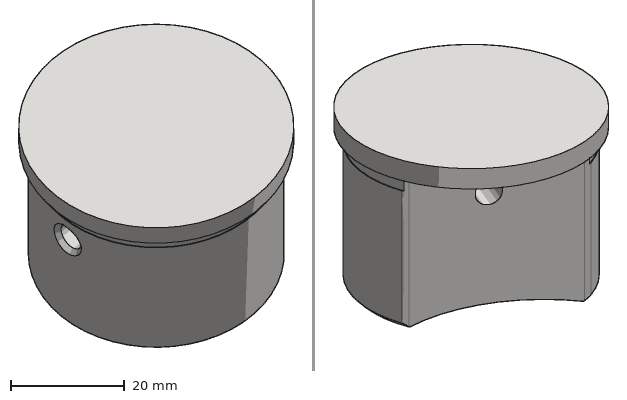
import cadquery as cq

total_height = 34.0
flange_diameter = 48.3
flange_height = 4.0

body_diameter = 45.0
neck_diameter = 44.75
neck_height = 3.0
bottom_chamfer = 0.95

saddle_radius = 31.4
saddle_bottom_offset = 9.9
saddle_edge_radius = 1.0

hole_diameter = 5.0
hole_depth_below_top = 12.05
hole_chamfer_width = 0.8
hole_chamfer_depth = 1.0

body_radius = body_diameter / 2
neck_radius = neck_diameter / 2
hole_radius = hole_diameter / 2
neck_top = total_height - flange_height
body_top = neck_top - neck_height
hole_z = total_height - hole_depth_below_top


def make_flange():
    """Round cover plate on top of the plug."""
    return (
        cq.Workplane("XY")
        .workplane(offset=neck_top)
        .circle(flange_diameter / 2)
        .extrude(flange_height)
    )


def make_saddled_column():
    """Upright cylinder with the saddle cut into its back and both saddle edges rounded."""
    saddle = (
        cq.Workplane("XY")
        .center(0, saddle_bottom_offset + saddle_radius)
        .circle(saddle_radius)
        .extrude(neck_top)
    )
    behind_saddle_bottom = cq.selectors.BoxSelector(
        (-body_diameter, saddle_bottom_offset, 0),
        (body_diameter, body_diameter, neck_top),
    )
    return (
        cq.Workplane("XY")
        .circle(body_radius)
        .extrude(neck_top)
        .cut(saddle)
        .edges("|Z")
        .edges(behind_saddle_bottom)
        .fillet(saddle_edge_radius)
    )


def make_turned_envelope():
    """Turned profile with the bottom chamfer and the slightly narrower neck."""
    return (
        cq.Workplane("XZ")
        .lineTo(body_radius - bottom_chamfer, 0)
        .lineTo(body_radius, bottom_chamfer)
        .lineTo(body_radius, body_top)
        .lineTo(neck_radius, body_top)
        .lineTo(neck_radius, neck_top)
        .lineTo(0, neck_top)
        .close()
        .revolve(360, (0, 0, 0), (0, 1, 0))
    )


def drill_cross_hole(plug):
    """Drill through along Y and chamfer the rim on the round front."""
    drill = (
        cq.Workplane("XZ", origin=(0, -body_radius, hole_z))
        .circle(hole_radius)
        .extrude(-body_diameter)
    )
    front_rim = cq.selectors.BoxSelector(
        (-hole_radius, -body_diameter, hole_z - hole_radius),
        (hole_radius, -body_radius / 2, hole_z + hole_radius),
    )
    return plug.cut(drill).edges(front_rim).chamfer(hole_chamfer_width, hole_chamfer_depth)


plug = make_saddled_column().intersect(make_turned_envelope())
result = drill_cross_hole(plug).union(make_flange())